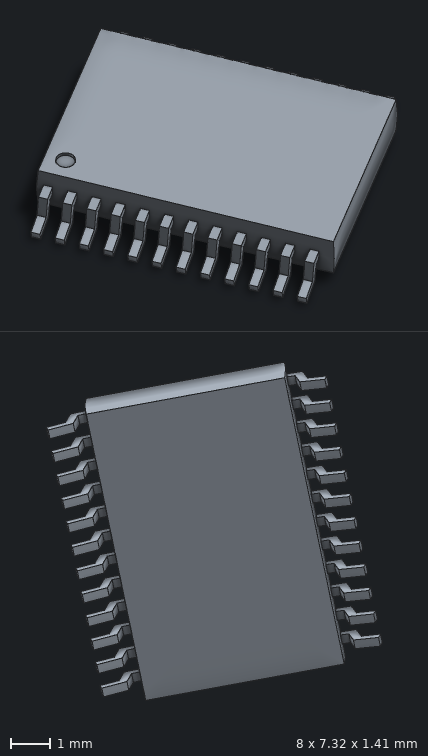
import cadquery as cq
import math

body_length = 8.0
body_width = 5.23
half_height = 0.59
body_draft = 3.0
parting_z = 0.82

marker_diameter = 0.5
marker_depth = 0.1
marker_inset = 0.59

leads_per_row = 12
row_span = 7.15
row_center_x = -0.11
lead_width = 0.25
lead_thickness = 0.25
tip_reach = 3.66
shoulder_reach = 3.02
shoulder_z = 0.91
lead_embed = 0.16

shoulder_slope = 4.0
leg_slope = 77.0
foot_slope = 13.0

body_top_z = parting_z + half_height
lead_pitch = row_span / (leads_per_row - 1)


def make_body():
    parting_plane = cq.Workplane("XY").workplane(offset=parting_z)
    upper = parting_plane.rect(body_length, body_width).extrude(half_height, taper=body_draft)
    lower = upper.mirror("XY", (0, 0, parting_z))
    return upper.union(lower)


def point_below(corner, slope_before, slope_after):
    """Underside point facing a top-side corner, one lead thickness away from both stretches."""
    mean_slope = math.radians((slope_before + slope_after) / 2)
    half_bend = math.radians((slope_after - slope_before) / 2)
    distance = lead_thickness / math.cos(half_bend)
    y, z = corner
    return (y - distance * math.sin(mean_slope), z - distance * math.cos(mean_slope))


def lead_outline():
    """Closed side profile of a lead as (outward, up) points."""
    shoulder_tan = math.tan(math.radians(shoulder_slope))
    leg_tan = math.tan(math.radians(leg_slope))
    foot_tan = math.tan(math.radians(foot_slope))

    root_y = body_width / 2 - lead_embed
    root = (root_y, shoulder_z + (shoulder_reach - root_y) * shoulder_tan)
    shoulder = (shoulder_reach, shoulder_z)
    tip_z = lead_thickness * math.cos(math.radians(foot_slope))
    tip = (tip_reach, tip_z)
    leg_run = (shoulder_z - tip_z - (tip_reach - shoulder_reach) * foot_tan) / (leg_tan - foot_tan)
    ankle = (shoulder_reach + leg_run, shoulder_z - leg_run * leg_tan)

    return [
        root,
        shoulder,
        ankle,
        tip,
        point_below(tip, foot_slope, foot_slope),
        point_below(ankle, leg_slope, foot_slope),
        point_below(shoulder, shoulder_slope, leg_slope),
        point_below(root, shoulder_slope, shoulder_slope),
    ]


def make_lead(center_x):
    profile = cq.Workplane("YZ").workplane(offset=center_x - lead_width / 2)
    return profile.polyline(lead_outline()).close().extrude(lead_width)


def make_marker():
    marker_x = -body_length / 2 + marker_inset
    marker_y = -body_width / 2 + marker_inset
    top_plane = cq.Workplane("XY").workplane(offset=body_top_z)
    return top_plane.center(marker_x, marker_y).circle(marker_diameter / 2).extrude(-marker_depth)


result = make_body().cut(make_marker())
for index in range(leads_per_row):
    lead = make_lead(row_center_x - row_span / 2 + index * lead_pitch)
    result = result.union(lead).union(lead.mirror("XZ"))